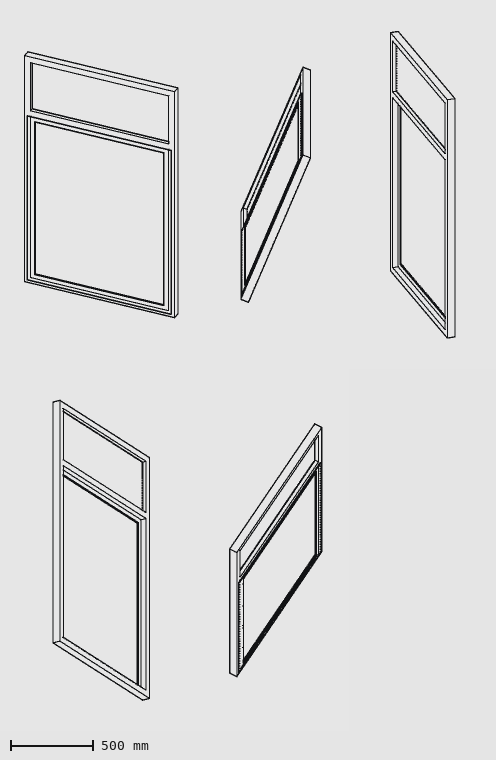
import cadquery as cq

frame_width = 1000.0
frame_height = 1600.0
frame_depth = 50.0
frame_border = 40.0
mullion_height = 40.0
upper_opening_height = 340.0

face_plate_thickness = 5.0
face_plate_overlap = 20.0
core_depth = 15.0
leaf_stile_width = 50.0
leaf_top_rail_height = 30.0
leaf_bottom_rail_height = 50.0

pane_thickness = 5.0

opening_width = frame_width - 2 * frame_border
upper_opening_bottom = frame_height - frame_border - upper_opening_height
lower_opening_top = upper_opening_bottom - mullion_height
lower_opening_bottom = frame_border
lower_opening_height = lower_opening_top - lower_opening_bottom

face_plate_width = opening_width + 2 * face_plate_overlap
face_plate_bottom = lower_opening_bottom - face_plate_overlap
face_plate_height = lower_opening_top - face_plate_bottom

leaf_front = -face_plate_thickness
leaf_depth = face_plate_thickness + core_depth
glazing_width = face_plate_width - 2 * leaf_stile_width
glazing_bottom = face_plate_bottom + leaf_bottom_rail_height
glazing_height = lower_opening_top - leaf_top_rail_height - glazing_bottom

upper_pane_front = (frame_depth - pane_thickness) / 2
lower_pane_front = leaf_front + (leaf_depth - pane_thickness) / 2


def panel(width, height, depth, bottom, front):
    """Upright block centred on X = 0, rising from bottom and reaching back from front."""
    block = cq.Workplane("XY").box(width, depth, height, centered=(True, False, False))
    return block.translate((0, front, bottom))


def make_frame():
    """Outer frame with the upper and lower openings cut right through."""
    body = panel(frame_width, frame_height, frame_depth, 0, 0)
    upper_opening = panel(opening_width, upper_opening_height, frame_depth, upper_opening_bottom, 0)
    lower_opening = panel(opening_width, lower_opening_height, frame_depth, lower_opening_bottom, 0)
    return body.cut(upper_opening).cut(lower_opening)


def glazing_cutter():
    """Block that cuts the glazed opening through the full depth of the leaf."""
    return panel(glazing_width, glazing_height, leaf_depth, glazing_bottom, leaf_front)


def make_face_plate():
    """Thin front border of the leaf, lying on the front of the frame."""
    body = panel(
        face_plate_width, face_plate_height, face_plate_thickness, face_plate_bottom, leaf_front
    )
    return body.cut(glazing_cutter())


def make_core():
    """Border behind the face plate, filling the lower opening around the glass."""
    body = panel(opening_width, lower_opening_height, core_depth, lower_opening_bottom, 0)
    return body.cut(glazing_cutter())


def make_upper_pane():
    """Fixed glass in the middle of the frame depth."""
    return panel(
        opening_width, upper_opening_height, pane_thickness, upper_opening_bottom, upper_pane_front
    )


def make_lower_pane():
    """Glass in the middle of the leaf depth."""
    return panel(glazing_width, glazing_height, pane_thickness, glazing_bottom, lower_pane_front)


frame = make_frame()
face_plate = make_face_plate()
core = make_core()
upper_pane = make_upper_pane()
lower_pane = make_lower_pane()

result = cq.Compound.makeCompound(
    [frame.val(), face_plate.val(), core.val(), upper_pane.val(), lower_pane.val()]
)